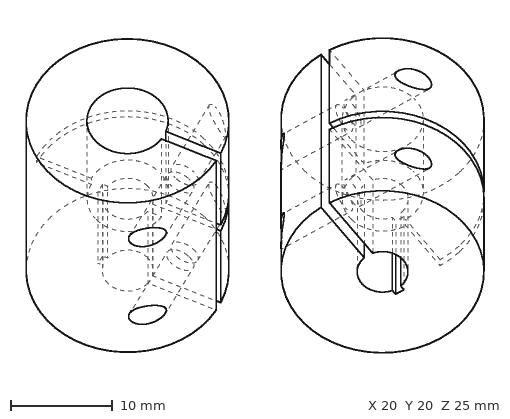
import cadquery as cq

height = 25.0
outer_diameter = 20.0
upper_bore_diameter = 8.0
lower_bore_diameter = 5.0

cut_width = 1.0
step_height = (height - cut_width) / 2
slit_overrun = 3.0

screw_diameter = 3.0
screw_offset = 6.0
screw_end_distance = 6.0

outer_radius = outer_diameter / 2


def make_body():
    """Cylinder with a small lower bore and a larger upper bore."""
    body = cq.Workplane("XY").circle(outer_radius).extrude(height)
    lower_bore = cq.Workplane("XY").circle(lower_bore_diameter / 2).extrude(height)
    upper_bore = (
        cq.Workplane("XY", origin=(0, 0, step_height))
        .circle(upper_bore_diameter / 2)
        .extrude(height - step_height)
    )
    return body.cut(lower_bore).cut(upper_bore)


def make_clamping_slit():
    """Full-height slit through the +X wall, ending just past the lower bore."""
    return (
        cq.Workplane("XY")
        .box(outer_radius + slit_overrun, cut_width, height, centered=(False, True, False))
        .translate((-slit_overrun, 0, 0))
    )


def make_cross_cut():
    """Horizontal cut at mid height that separates the +Y halves of the two clamps."""
    return (
        cq.Workplane("XY")
        .box(outer_diameter, outer_radius, cut_width, centered=(True, False, True))
        .translate((0, 0, height / 2))
    )


def make_screw_hole(z):
    """Clamp screw hole running right through along Y."""
    return (
        cq.Workplane("XZ", origin=(screw_offset, 0, z))
        .circle(screw_diameter / 2)
        .extrude(outer_radius, both=True)
    )


result = make_body().cut(make_clamping_slit()).cut(make_cross_cut())
for screw_z in (screw_end_distance, height - screw_end_distance):
    result = result.cut(make_screw_hole(screw_z))